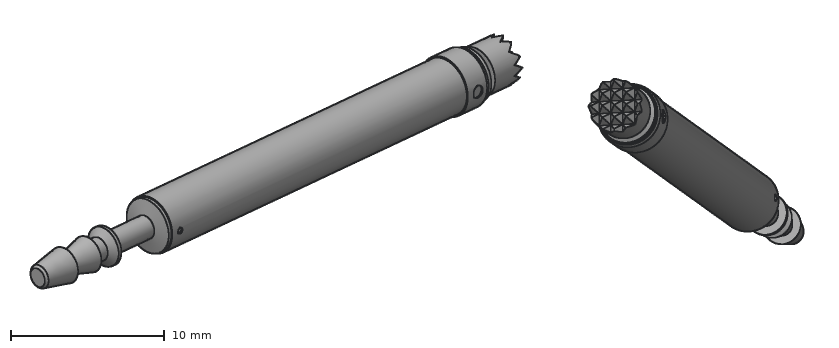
import cadquery as cq
import math

length = 43.5
head_y = length / 2

head_radius = 1.75
nose_radius = 1.1
shoulder_radius = 1.9
collar_cone_radius = 2.0
collar_radius = 4.2 / 2
barrel_radius = 2.0
barrel_step_radius = 1.9
stem_radius = 0.83
flange_radius = 1.4
barb_radius = 1.25
barb_neck_radius = 0.7
tip_radius = 0.83

head_back = 2.55
nose_cone_back = 3.1
shoulder_back = 3.45
collar_front = 3.7
collar_back = 5.5
barrel_back = 32.97
barrel_step_back = 33.25
end_cone_back = 33.45
flange_front = 37.1
flange_rim_back = 37.35
flange_back = 37.8
barb_front = 38.6
barb_crest = 38.85
barb_neck = 41.0
tip_chamfer = 0.17

groove_angle = 60
grooves_each_way = 4
groove_span = 2.4
groove_pitch = groove_span / (grooves_each_way - 1)

collar_dimple_radius = 0.45
collar_dimple_position = 4.52
barrel_dimple_radius = 0.2
barrel_dimple_position = 32.25
dimple_depth = 0.15


def turned_body():
    """Revolve the stepped half section about the Y axis."""
    steps = [
        (head_radius, 0),
        (head_radius, head_back),
        (nose_radius, head_back),
        (shoulder_radius, nose_cone_back),
        (shoulder_radius, shoulder_back),
        (collar_cone_radius, shoulder_back),
        (collar_radius, collar_front),
        (collar_radius, collar_back),
        (barrel_radius, collar_back),
        (barrel_radius, barrel_back),
        (barrel_step_radius, barrel_back),
        (barrel_step_radius, barrel_step_back),
        (stem_radius, end_cone_back),
        (stem_radius, flange_front),
        (flange_radius, flange_front),
        (flange_radius, flange_rim_back),
        (stem_radius, flange_back),
        (stem_radius, barb_front),
        (barb_radius, barb_crest),
        (barb_neck_radius, barb_neck),
        (barb_radius, barb_neck),
        (tip_radius, length - tip_chamfer),
        (tip_radius - tip_chamfer, length),
        (0, length),
    ]

    profile = cq.Workplane("XY").moveTo(0, head_y)
    for radius, distance in steps:
        profile = profile.lineTo(radius, head_y - distance)
    return profile.close().revolve(360, (0, 0, 0), (0, 1, 0))


def head_grooves():
    """V grooves in two crossed directions that leave a grid of pointed teeth."""
    half_width = groove_pitch / 2
    depth = half_width / math.tan(math.radians(groove_angle / 2))
    grooves = []
    for index in range(grooves_each_way):
        center = index * groove_pitch - groove_span / 2
        groove = (
            cq.Workplane("XY")
            .moveTo(center - half_width, head_y)
            .lineTo(center, head_y - depth)
            .lineTo(center + half_width, head_y)
            .close()
            .extrude(collar_radius, both=True)
        )
        grooves.append(groove)
        grooves.append(groove.rotate((0, 0, 0), (0, 1, 0), 90))
    return grooves


def dimple_pair(radius, distance, surface_radius):
    """Shallow round dimples on opposite sides along X."""
    floor = surface_radius - dimple_depth
    right = (
        cq.Workplane("YZ", origin=(floor, head_y - distance, 0))
        .circle(radius)
        .extrude(collar_radius)
    )
    return [right, right.mirror("YZ")]


cutters = head_grooves()
cutters += dimple_pair(collar_dimple_radius, collar_dimple_position, collar_radius)
cutters += dimple_pair(barrel_dimple_radius, barrel_dimple_position, barrel_radius)

result = turned_body()
for cutter in cutters:
    result = result.cut(cutter)